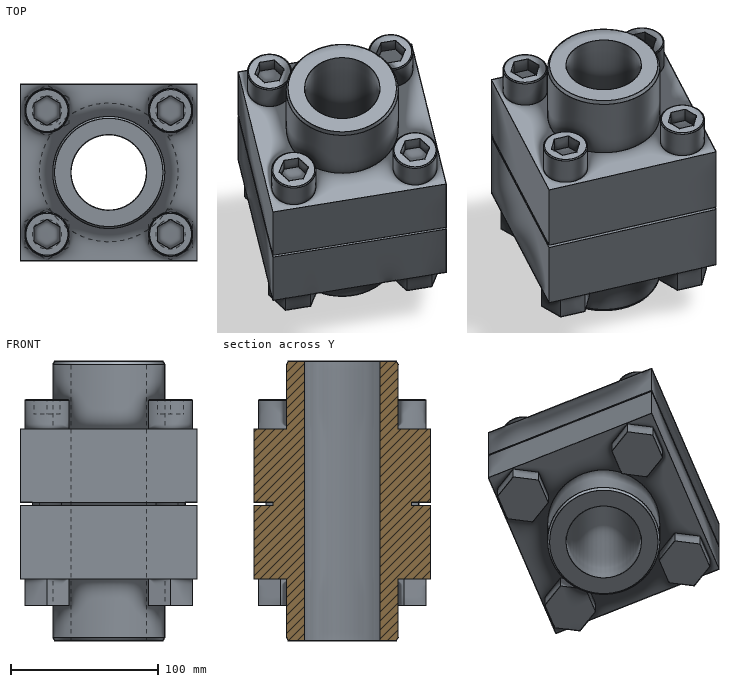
import cadquery as cq
import math


flange_side = 120.0
flange_thickness = 50.0
joint_gap = 2.0
joint_diameter = 94.2

neck_diameter = 76.2
bore_diameter = 51.1
upper_neck_length = 46.0
lower_neck_length = 42.0
bevel_height = 2.3
bevel_angle = 30
bevel_width = bevel_height * math.tan(math.radians(bevel_angle))

bolt_spacing = 84.0
shank_diameter = 20.0
head_diameter = 30.0
head_height = 20.0
head_chamfer = 0.8
socket_across_flats = 17.5
socket_depth = 10.0
nut_across_flats = 30.0
nut_height = 18.0

upper_flange_bottom = flange_thickness + joint_gap
upper_flange_top = upper_flange_bottom + flange_thickness
upper_end = upper_flange_top + upper_neck_length
lower_end = -lower_neck_length


def cylinder(diameter, bottom, top):
    return cq.Workplane("XY").workplane(offset=bottom).circle(diameter / 2).extrude(top - bottom)


def flange(bottom):
    plane = cq.Workplane("XY").workplane(offset=bottom)
    return plane.rect(flange_side, flange_side).extrude(flange_thickness)


def hexagon(across_flats, bottom, height):
    """Hexagonal prism with two of its flats facing +X and -X."""
    half_sector = 180 / 6
    across_corners = across_flats / math.cos(math.radians(half_sector))
    prism = cq.Workplane("XY").polygon(6, across_corners).extrude(height)
    return prism.rotate((0, 0, 0), (0, 0, 1), half_sector).translate((0, 0, bottom))


def pipe():
    """Both necks as one bar with bevelled ends."""
    radius = neck_diameter / 2
    half_profile = [
        (0, lower_end),
        (radius - bevel_width, lower_end),
        (radius, lower_end + bevel_height),
        (radius, upper_end - bevel_height),
        (radius - bevel_width, upper_end),
        (0, upper_end),
    ]
    return cq.Workplane("XZ").polyline(half_profile).close().revolve(360, (0, 0), (0, 1))


def fastener():
    """Bolt with its nut, on the Z axis; the shank ends flush with the nut."""
    head_top = upper_flange_top + head_height
    head = cylinder(head_diameter, upper_flange_top, head_top).faces(">Z").chamfer(head_chamfer)
    head = head.cut(hexagon(socket_across_flats, head_top - socket_depth, socket_depth))
    shank = cylinder(shank_diameter, -nut_height, upper_flange_top)
    nut = hexagon(nut_across_flats, -nut_height, nut_height)
    return head.union(shank).union(nut)


body = flange(0).union(flange(upper_flange_bottom))
body = body.union(cylinder(joint_diameter, flange_thickness, upper_flange_bottom))
body = body.union(pipe())
body = body.cut(cylinder(bore_diameter, lower_end, upper_end))

for x_side in (-1, 1):
    for y_side in (-1, 1):
        bolt_position = (x_side * bolt_spacing / 2, y_side * bolt_spacing / 2, 0)
        body = body.union(fastener().translate(bolt_position))

result = body